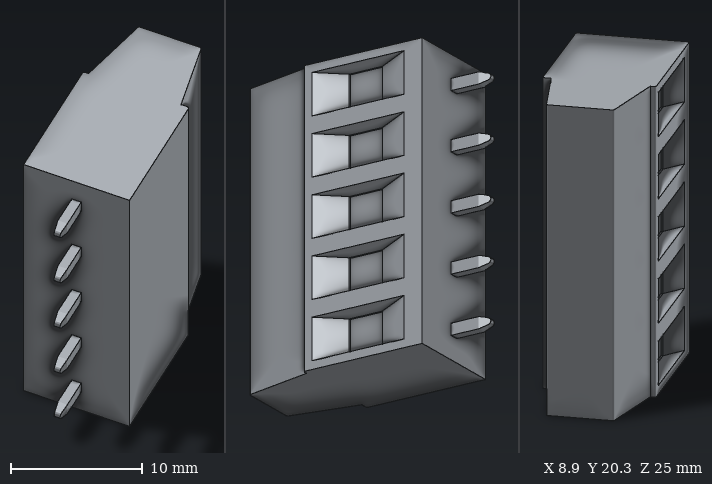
import cadquery as cq

WIDTH = 8.9
HEIGHT = 25.0
HOUSING_LENGTH = 16.8
SHOULDER_Y = 10.75
LEFT_SHOULDER = 0.45
RIGHT_SHOULDER = 0.7
LEFT_HEAD_INSET = 1.82
RIGHT_HEAD_INSET = 1.8
CORNER_RADIUS = 0.2

POLE_COUNT = 5
PITCH = HEIGHT / POLE_COUNT

MOUTH_START_Y = 1.62
MOUTH_END_Y = 9.98
MOUTH_HEIGHT = 3.55
THROAT_START_Y = 4.28
THROAT_END_Y = 7.28
THROAT_HEIGHT = 2.8
FUNNEL_DEPTH = 1.05
THROAT_DEPTH = 0.15

PIN_WIDTH = 0.8
PIN_HEIGHT = 1.0
PIN_LENGTH = 3.5
TIP_LENGTH = 1.0
TIP_END_WIDTH = 0.5
NOSE_LENGTH = 0.25
NOSE_HEIGHT = 0.6


def make_housing():
    """Stepped outline extruded along Z, with the head and shoulder corners rounded."""
    shoulder_corners = [(0, SHOULDER_Y), (WIDTH, SHOULDER_Y)]
    head_corners = [(LEFT_HEAD_INSET, HOUSING_LENGTH), (WIDTH - RIGHT_HEAD_INSET, HOUSING_LENGTH)]
    block = (
        cq.Workplane("XY")
        .moveTo(0, 0)
        .lineTo(WIDTH, 0)
        .lineTo(*shoulder_corners[1])
        .lineTo(WIDTH - RIGHT_SHOULDER, SHOULDER_Y)
        .lineTo(*head_corners[1])
        .lineTo(*head_corners[0])
        .lineTo(LEFT_SHOULDER, SHOULDER_Y)
        .lineTo(*shoulder_corners[0])
        .close()
        .extrude(HEIGHT)
    )
    for x, y in shoulder_corners + head_corners:
        corner = cq.selectors.NearestToPointSelector((x, y, HEIGHT / 2))
        block = block.edges("|Z").edges(corner).fillet(CORNER_RADIUS)
    return block


def make_funnel(center_z):
    """Four-sided funnel from the -X face, ending in a short straight throat."""
    mouth_length = MOUTH_END_Y - MOUTH_START_Y
    throat_length = THROAT_END_Y - THROAT_START_Y
    mouth_center_y = (MOUTH_START_Y + MOUTH_END_Y) / 2
    throat_center_y = (THROAT_START_Y + THROAT_END_Y) / 2
    taper = (
        cq.Workplane("YZ", origin=(0, mouth_center_y, center_z))
        .rect(mouth_length, MOUTH_HEIGHT)
        .workplane(offset=FUNNEL_DEPTH)
        .center(throat_center_y - mouth_center_y, 0)
        .rect(throat_length, THROAT_HEIGHT)
        .loft(ruled=True)
    )
    throat = (
        cq.Workplane("YZ", origin=(FUNNEL_DEPTH, throat_center_y, center_z))
        .rect(throat_length, THROAT_HEIGHT)
        .extrude(THROAT_DEPTH)
    )
    return taper.union(throat)


def make_pin(center_z):
    """Rectangular pin along -Y, tapered on four sides to a nose rounded about X."""
    taper_y = TIP_LENGTH - PIN_LENGTH
    nose_y = NOSE_LENGTH - PIN_LENGTH
    side_profile = (
        cq.Workplane("YZ", origin=(WIDTH / 2, 0, center_z))
        .moveTo(0, PIN_HEIGHT / 2)
        .lineTo(taper_y, PIN_HEIGHT / 2)
        .lineTo(nose_y, NOSE_HEIGHT / 2)
        .threePointArc((-PIN_LENGTH, 0), (nose_y, -NOSE_HEIGHT / 2))
        .lineTo(taper_y, -PIN_HEIGHT / 2)
        .lineTo(0, -PIN_HEIGHT / 2)
        .close()
        .extrude(PIN_WIDTH / 2, both=True)
    )
    top_profile = (
        cq.Workplane("XY", origin=(WIDTH / 2, 0, center_z))
        .moveTo(PIN_WIDTH / 2, 0)
        .lineTo(PIN_WIDTH / 2, taper_y)
        .lineTo(TIP_END_WIDTH / 2, -PIN_LENGTH)
        .lineTo(-TIP_END_WIDTH / 2, -PIN_LENGTH)
        .lineTo(-PIN_WIDTH / 2, taper_y)
        .lineTo(-PIN_WIDTH / 2, 0)
        .close()
        .extrude(PIN_HEIGHT / 2, both=True)
    )
    return side_profile.intersect(top_profile)


result = make_housing()
for pole in range(POLE_COUNT):
    pole_z = (pole + 0.5) * PITCH
    result = result.cut(make_funnel(pole_z)).union(make_pin(pole_z))